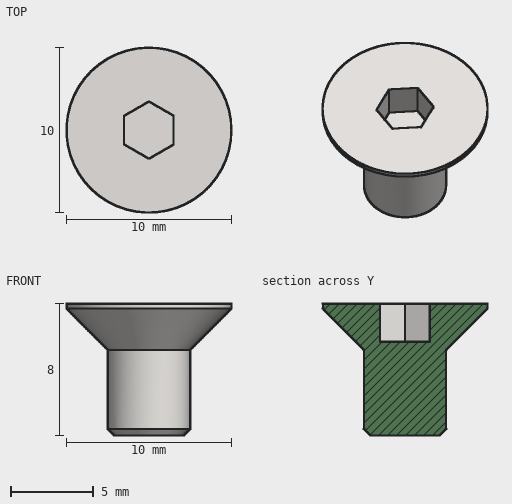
import cadquery as cq

head_diameter = 10.0
shank_diameter = 5.0
total_length = 8.0
rim_height = 0.3
tip_chamfer = 0.41
socket_across_flats = 3.0
socket_depth = 2.3

head_radius = head_diameter / 2
shank_radius = shank_diameter / 2
cone_height = head_radius - shank_radius
rim_bottom = total_length - rim_height
cone_bottom = rim_bottom - cone_height

body = (
    cq.Workplane("XZ")
    .moveTo(0, 0)
    .lineTo(shank_radius - tip_chamfer, 0)
    .lineTo(shank_radius, tip_chamfer)
    .lineTo(shank_radius, cone_bottom)
    .lineTo(head_radius, rim_bottom)
    .lineTo(head_radius, total_length)
    .lineTo(0, total_length)
    .close()
    .revolve(360, (0, 0), (0, 1))
)

socket = (
    cq.Workplane("XY")
    .workplane(offset=total_length - socket_depth)
    .polygon(6, socket_across_flats, circumscribed=True)
    .extrude(socket_depth)
)

result = body.cut(socket)